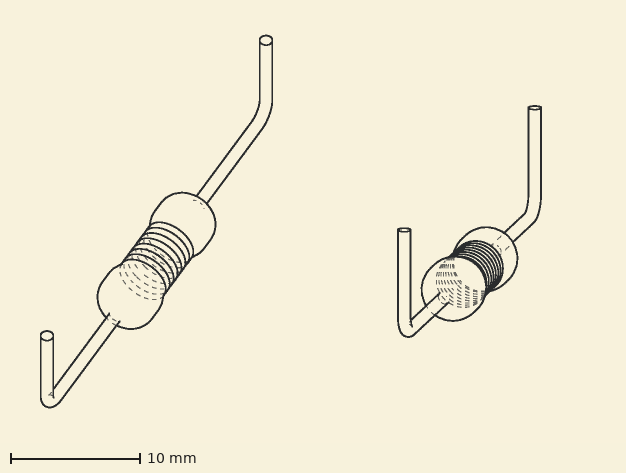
import cadquery as cq
import math


wire_diameter = 1.0
overall_length = 36.0
lead_tip_height = 8.5
bend_radius = 1.5

cap_diameter = 4.8
waist_diameter = 4.08
band_diameter = 4.1
section_count = 7
waist_half_length = 2.2
cap_land_start = 3.63
cap_land_end = 4.72
cap_round_radius = 1.63
lead_fillet_radius = 0.44

wire_radius = wire_diameter / 2
cap_radius = cap_diameter / 2
waist_radius = waist_diameter / 2
band_radius = band_diameter / 2
lead_center_y = overall_length / 2 - wire_radius
section_length = 2 * waist_half_length / section_count

shoulder_length = cap_land_start - waist_half_length
shoulder_rise = cap_radius - waist_radius
shoulder_middle = (waist_radius + shoulder_rise / 2, waist_half_length + shoulder_length / 2)

round_center = (cap_radius - cap_round_radius, cap_land_end)
fillet_center_radius = wire_radius + lead_fillet_radius
center_spacing = cap_round_radius + lead_fillet_radius
round_end_angle = math.acos((fillet_center_radius - round_center[0]) / center_spacing)
fillet_end = cap_land_end + center_spacing * math.sin(round_end_angle)
fillet_center = (fillet_center_radius, fillet_end)


def point_on_circle(center, radius, angle):
    """Profile point (distance from axis, Y), with the angle measured from the radial direction."""
    return (center[0] + radius * math.cos(angle), center[1] + radius * math.sin(angle))


def make_body_end():
    """Revolved +Y end of the body, from the end of the waist to the end of the lead fillet."""
    round_middle = point_on_circle(round_center, cap_round_radius, round_end_angle / 2)
    round_end = point_on_circle(round_center, cap_round_radius, round_end_angle)
    fillet_middle = point_on_circle(fillet_center, lead_fillet_radius, math.pi + round_end_angle / 2)
    profile = (
        cq.Workplane("XY")
        .moveTo(cap_radius, cap_land_end)
        .lineTo(cap_radius, cap_land_start)
        .tangentArcPoint(shoulder_middle, relative=False)
        .tangentArcPoint((waist_radius, waist_half_length), relative=False)
        .lineTo(0, waist_half_length)
        .lineTo(0, fillet_end)
        .lineTo(wire_radius, fillet_end)
        .threePointArc(fillet_middle, round_end)
        .threePointArc(round_middle, (cap_radius, cap_land_end))
        .close()
    )
    return profile.revolve(360, (0, 0, 0), (0, 1, 0))


def make_waist_section(index):
    """Cylinder for one section of the waist: a slightly raised colour band if the index is even."""
    is_band = index % 2 == 0
    start_y = -waist_half_length + index * section_length
    return (
        cq.Workplane("XZ", origin=(0, start_y, 0))
        .circle(band_radius if is_band else waist_radius)
        .extrude(-section_length)
    )


def make_lead():
    """+Y lead: straight along the axis, then a quarter bend up to the tip."""
    path = (
        cq.Workplane("YZ")
        .moveTo(fillet_end, 0)
        .lineTo(lead_center_y - bend_radius, 0)
        .tangentArcPoint((lead_center_y, bend_radius), relative=False)
        .lineTo(lead_center_y, lead_tip_height)
    )
    return cq.Workplane("XZ", origin=(0, fillet_end, 0)).circle(wire_radius).sweep(path)


result = make_waist_section(0)
for section_index in range(1, section_count):
    result = result.union(make_waist_section(section_index))

end_with_lead = make_body_end().union(make_lead())
result = result.union(end_with_lead).union(end_with_lead.mirror("XZ"))